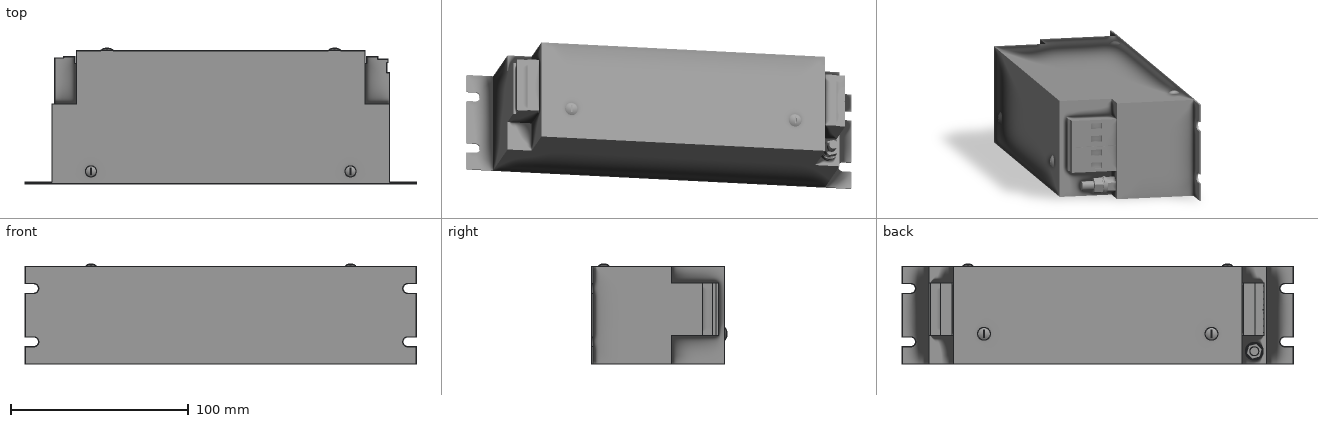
import cadquery as cq
import math

plate_length = 220.0
height = 55.0
plate_thickness = 1.0
slot_width = 5.4
slot_depth = 7.5
slot_heights = (12.5, 42.5)

housing_length = 190.0
rear_length = 162.4
step_y = 45.0
housing_depth = 75.0

terminal_bottom = 16.0
terminal_top = 45.7
terminal_seam_z = 30.5
terminal_rear = 71.5
terminal_shoulder_x = 88.4
terminal_outer_x = 93.4
terminal_wall_gap = 0.8
terminal_gap_start = 67.8
left_shoulder_y = 70.9
right_shoulder_y = 70.2
right_lip_x = 94.2
right_lip_y = 68.2
right_base_x = housing_length / 2
right_base_y = 62.6
seam_width = 0.2
seam_depth = 0.3

opening_y = 56.6
opening_length = 6.2
opening_height = 3.4
opening_depth = 0.8
opening_pitch = 7.35
opening_pair_heights = (23.25, 38.55)

stud_x = -88.1
stud_z = 7.2
stud_diameter = 5.0
stud_end = 64.0
nut_across_flats = 8.0
nut_thickness = 4.8
nut_turns = (6.0, 15.0)
washer_diameter = 10.0
washer_thickness = 1.3
spacer_diameter = 9.0
spacer_thickness = 0.7

top_head_diameter = 6.2
rear_head_diameter = 7.2
head_height = 1.385
screw_slot_width = 0.8
screw_slot_depth = 0.4
top_screw_x = 73.0
top_screw_y = 7.0
rear_screw_x = 64.0
rear_screw_z = 17.0


def box(x_range, y_range, z_range):
    """Box spanning the given (low, high) pairs along X, Y and Z."""
    spans = (x_range, y_range, z_range)
    sizes = [high - low for low, high in spans]
    corner = tuple(low for low, high in spans)
    return cq.Workplane("XY").box(*sizes, centered=False).translate(corner)


def mounting_plate():
    half = plate_length / 2
    plate = box((-half, half), (0, plate_thickness), (0, height))
    slots = (
        cq.Workplane("XZ")
        .pushPoints([(side * half, z) for side in (-1, 1) for z in slot_heights])
        .slot2D(2 * slot_depth, slot_width)
        .extrude(-plate_thickness)
    )
    return plate.cut(slots)


def housing():
    front_half = housing_length / 2
    rear_half = rear_length / 2
    front = box((-front_half, front_half), (0, step_y), (0, height))
    rear = box((-rear_half, rear_half), (step_y, housing_depth), (0, height))
    return front.union(rear)


def terminal_block(outer_points, side):
    """Block whose inner edge touches the rear housing, with a narrow gap at its back."""
    wall_x = rear_length / 2
    gap_x = wall_x + terminal_wall_gap
    inner_points = [
        (terminal_shoulder_x, terminal_rear),
        (gap_x, terminal_rear),
        (gap_x, terminal_gap_start),
        (wall_x, terminal_gap_start),
        (wall_x, step_y),
    ]
    outline = [(side * x, y) for x, y in outer_points + inner_points]
    return (
        cq.Workplane("XY", origin=(0, 0, terminal_bottom))
        .polyline(outline)
        .close()
        .extrude(terminal_top - terminal_bottom)
    )


def left_terminal():
    outer_points = [
        (terminal_outer_x, step_y),
        (terminal_outer_x, left_shoulder_y),
        (terminal_shoulder_x, left_shoulder_y),
    ]
    block = terminal_block(outer_points, -1)
    seam_z = (terminal_seam_z - seam_width / 2, terminal_seam_z + seam_width / 2)
    face_x = -terminal_outer_x
    block = block.cut(box((face_x, face_x + seam_depth), (step_y, terminal_rear), seam_z))
    opening_heights = [z + end * opening_pitch / 2 for z in opening_pair_heights for end in (-1, 1)]
    openings = (
        cq.Workplane("YZ", origin=(face_x, 0, 0))
        .pushPoints([(opening_y, z) for z in opening_heights])
        .rect(opening_length, opening_height)
        .extrude(opening_depth)
    )
    return block.cut(openings)


def right_terminal():
    outer_points = [
        (right_base_x, step_y),
        (right_base_x, right_base_y),
        (terminal_outer_x, right_base_y),
        (terminal_outer_x, right_lip_y),
        (right_lip_x, right_lip_y),
        (right_lip_x, right_shoulder_y),
        (terminal_shoulder_x, right_shoulder_y),
    ]
    return terminal_block(outer_points, 1)


def stud_workplane(y):
    """Plane across the stud axis whose extrusions run toward +Y."""
    return cq.Workplane("XZ", origin=(stud_x, y, stud_z))


def nut(y, turn):
    across_corners = nut_across_flats / math.cos(math.radians(30))
    return (
        stud_workplane(y)
        .transformed(rotate=(0, 0, 90 + turn))
        .polygon(6, across_corners)
        .extrude(-nut_thickness)
    )


def disc(y, diameter, thickness):
    return stud_workplane(y).circle(diameter / 2).extrude(-thickness)


def earth_stud():
    """Stud with two nuts clamping a washer between two smaller spacers."""
    lower_turn, upper_turn = nut_turns
    lower_spacer_y = step_y + nut_thickness
    washer_y = lower_spacer_y + spacer_thickness
    upper_spacer_y = washer_y + washer_thickness
    upper_nut_y = upper_spacer_y + spacer_thickness
    stud = disc(step_y, stud_diameter, stud_end - step_y)
    stud = stud.union(nut(step_y, lower_turn))
    stud = stud.union(disc(lower_spacer_y, spacer_diameter, spacer_thickness))
    stud = stud.union(disc(washer_y, washer_diameter, washer_thickness))
    stud = stud.union(disc(upper_spacer_y, spacer_diameter, spacer_thickness))
    return stud.union(nut(upper_nut_y, upper_turn))


def screw_head(diameter):
    """Domed head standing on Z = 0, with its driver slot along Y."""
    radius = diameter / 2
    dome_radius = (radius**2 + head_height**2) / (2 * head_height)
    ball = cq.Workplane("XY").sphere(dome_radius).translate((0, 0, head_height - dome_radius))
    dome = ball.intersect(cq.Workplane("XY").circle(radius).extrude(head_height))
    half_slot = screw_slot_width / 2
    slot_z = (head_height - screw_slot_depth, head_height)
    return dome.cut(box((-half_slot, half_slot), (-radius, radius), slot_z))


def screws():
    top_head = screw_head(top_head_diameter)
    rear_head = screw_head(rear_head_diameter).rotate((0, 0, 0), (1, 0, 0), -90)
    heads = []
    for side in (-1, 1):
        heads.append(top_head.translate((side * top_screw_x, top_screw_y, height)))
        heads.append(rear_head.translate((side * rear_screw_x, housing_depth, rear_screw_z)))
    return heads


result = mounting_plate().union(housing()).union(left_terminal()).union(right_terminal())
result = result.union(earth_stud())
for head in screws():
    result = result.union(head)